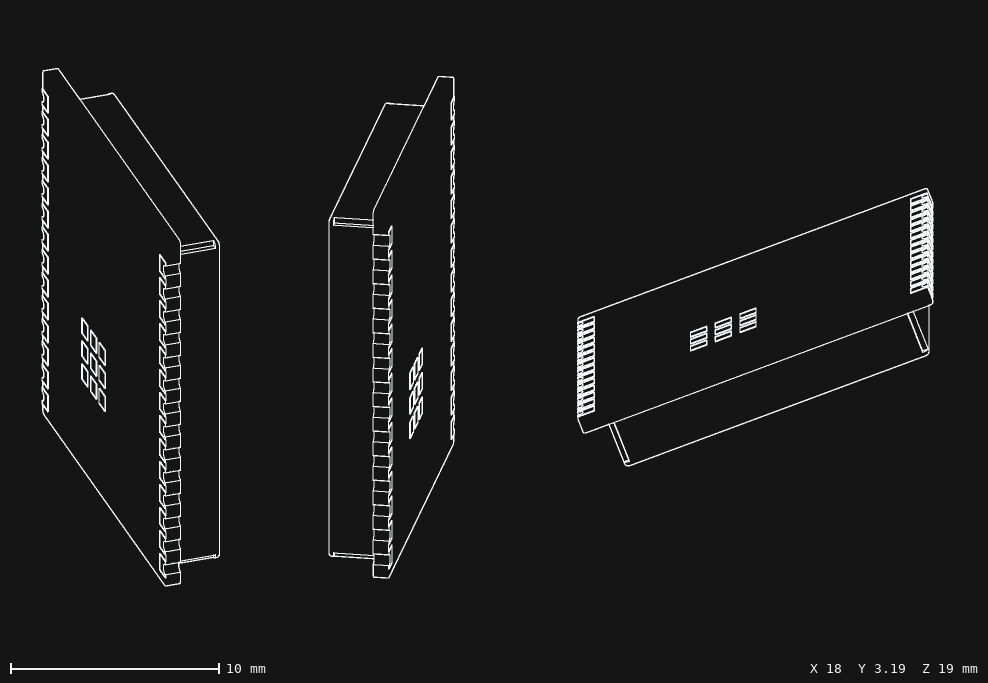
import cadquery as cq


board_width = 18.0
board_height = 19.0
overall_depth = 3.19

board_thickness = 0.75
board_edge_radius = 0.03
board_corner_radius = 0.2

pad_thickness = 0.035
pad_pitch = 1.27
pad_height = 0.9
pad_length = 0.85
pads_per_side = 14
top_pad_from_edge = 1.5
castellation_radius = 0.275

thermal_pad_size = 0.83
thermal_pads_per_row = 3
thermal_grid_x = -1.5
thermal_grid_z = -2.8

can_left_margin = 1.25
can_right_margin = 1.08
can_top_margin = 1.09
can_bottom_margin = 0.4
lid_thickness = 0.25
lid_corner_radius = 0.3
lid_edge_radius = 0.15
corner_notch = 0.28

pad_face_y = -overall_depth / 2
board_front_y = pad_face_y + pad_thickness
board_back_y = board_front_y + board_thickness
can_back_y = overall_depth / 2
lid_front_y = can_back_y - lid_thickness

top_pad_z = board_height / 2 - top_pad_from_edge
pad_rows_z = [top_pad_z - row * pad_pitch for row in range(pads_per_side)]

can_width = board_width - can_left_margin - can_right_margin
can_height = board_height - can_top_margin - can_bottom_margin
can_x = (can_left_margin - can_right_margin) / 2
can_z = (can_bottom_margin - can_top_margin) / 2


def block(width, height, front_y, back_y, x=0, z=0):
    """A box centred on (x, z) in the XZ plane and spanning front_y to back_y."""
    depth = back_y - front_y
    return cq.Workplane("XY").box(width, depth, height).translate((x, front_y + depth / 2, z))


def cut_castellations(body):
    """Half-round grooves through the pads and the board, along both side edges."""
    centres = [(x, z) for x in (-board_width / 2, board_width / 2) for z in pad_rows_z]
    grooves = (
        cq.Workplane("XZ", origin=(0, pad_face_y, 0))
        .pushPoints(centres)
        .circle(castellation_radius)
        .extrude(-(board_back_y - pad_face_y))
    )
    return body.cut(grooves)


def make_board():
    """The castellated board, with the rims of its top and bottom ends rounded up to the grooves."""
    board = block(board_width, board_height, board_front_y, board_back_y)
    board = cut_castellations(board.edges("|Y").fillet(board_corner_radius))
    end_rims = board.faces(">Z or <Z").edges("|X")
    return end_rims.fillet(board_edge_radius)


def add_edge_pads(body):
    pad_x = (board_width - pad_length) / 2
    for z in pad_rows_z:
        for x in (-pad_x, pad_x):
            body = body.union(block(pad_length, pad_height, pad_face_y, board_front_y, x, z))
    return body


def add_thermal_pads(body):
    middle = (thermal_pads_per_row - 1) / 2
    offsets = [(index - middle) * pad_pitch for index in range(thermal_pads_per_row)]
    for dx in offsets:
        for dz in offsets:
            pad = block(
                thermal_pad_size,
                thermal_pad_size,
                pad_face_y,
                board_front_y,
                thermal_grid_x + dx,
                thermal_grid_z + dz,
            )
            body = body.union(pad)
    return body


def make_can():
    """A lid with rounded corners and rim, over walls that stop short of the corners."""
    lid = block(can_width, can_height, lid_front_y, can_back_y, can_x, can_z)
    lid = lid.edges("|Y").fillet(lid_corner_radius)
    lid = lid.faces(">Y").edges().fillet(lid_edge_radius)

    short_width = can_width - 2 * corner_notch
    short_height = can_height - 2 * corner_notch
    tall_walls = block(short_width, can_height, board_back_y, lid_front_y, can_x, can_z)
    wide_walls = block(can_width, short_height, board_back_y, lid_front_y, can_x, can_z)
    return lid.union(tall_walls).union(wide_walls)


board_with_pads = cut_castellations(add_thermal_pads(add_edge_pads(make_board())))
result = board_with_pads.union(make_can())